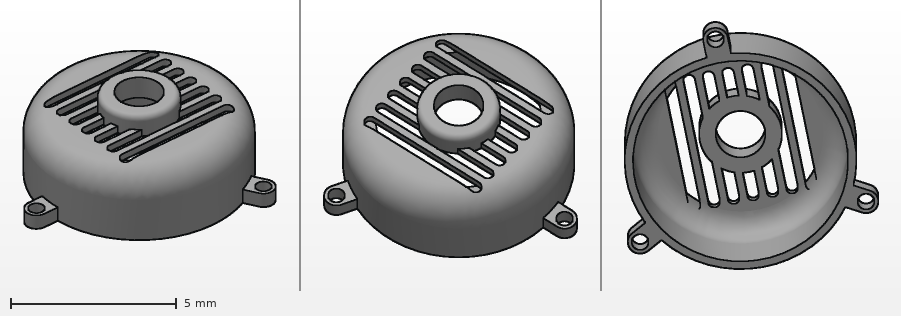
import cadquery as cq
import math

body_radius = 3.5
body_height = 2.5
dome_radius = 1.0
wall = 0.25

boss_radius = 1.25
total_height = 3.0
boss_rounding = 0.2
bore_radius = 0.75

slot_count = 7
slot_pitch = 0.6
slot_width = 0.355
slot_length = 4.36

lug_angles = (30, 150, 270)
lug_width = 0.75
lug_height = 0.505
lug_hole_diameter = 0.505
overall_y = 7.88
lug_hole_distance = overall_y - body_radius - lug_width / 2


def domed_cylinder(radius, height, rounding):
    return cq.Workplane("XY").circle(radius).extrude(height).faces(">Z").edges().fillet(rounding)


def make_lug(angle):
    lug = (
        cq.Workplane("XY")
        .center(lug_hole_distance / 2, 0)
        .slot2D(lug_hole_distance + lug_width, lug_width)
        .extrude(lug_height)
        .faces(">Z").workplane(origin=(lug_hole_distance, 0, 0))
        .hole(lug_hole_diameter)
    )
    return lug.rotate((0, 0, 0), (0, 0, 1), angle)


def make_slots():
    slots = (
        cq.Workplane("XY", origin=(0, 0, body_height - wall))
        .rarray(slot_pitch, 0.08, slot_count, 1)
        .slot2D(slot_length, slot_width, 90)
        .extrude(wall)
    )
    boss_core = cq.Workplane("XY").circle(boss_radius).extrude(total_height)
    return slots.cut(boss_core)


outer = domed_cylinder(body_radius, body_height, dome_radius)
for lug_angle in lug_angles:
    outer = outer.union(make_lug(lug_angle))

boss_base = body_height - wall
boss = domed_cylinder(boss_radius, total_height - boss_base, boss_rounding)
outer = outer.union(boss.translate((0, 0, boss_base)))

cavity = domed_cylinder(body_radius - wall, body_height - wall, dome_radius - wall)
bore = cq.Workplane("XY").circle(bore_radius).extrude(total_height)

result = outer.cut(cavity).cut(bore).cut(make_slots())